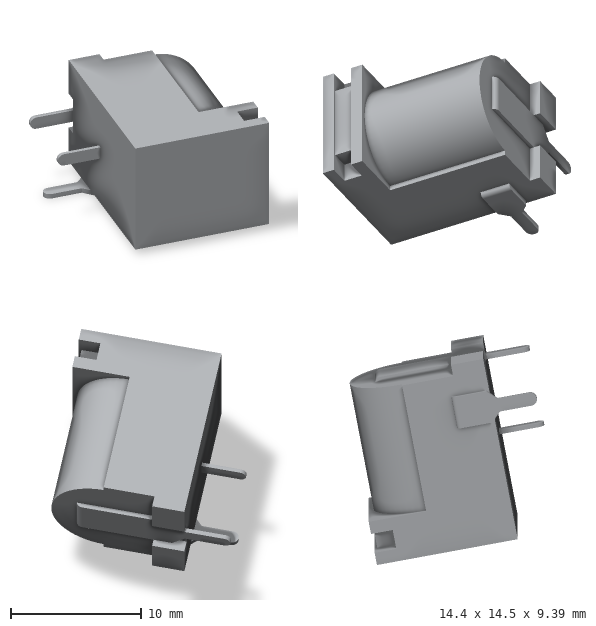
import cadquery as cq

BODY_LENGTH = 14.4
BODY_HEIGHT = 9.0
TOTAL_DEPTH = 14.5
PIN_LENGTH = 3.5
BODY_DEPTH = TOTAL_DEPTH - PIN_LENGTH
MID_Z = BODY_HEIGHT / 2

LIP_THICKNESS = 0.9
LIP_DEPTH = 2.52
BARREL_RADIUS = 4.1
BARREL_Y = 6.51
FLANGE_THICKNESS = 3.45

NOTCH_X = 11.92
NOTCH_WIDTH = 1.51
NOTCH_DEPTH = 1.7
WEB_SETBACK = 0.22
WEB_DROP = 1.51

PIN_WIDTH = 1.0
PIN_RADIUS = PIN_WIDTH / 2

END_CONTACT_X = 0.55
END_CONTACT_THICKNESS = LIP_THICKNESS - END_CONTACT_X
END_CONTACT_WIDTH = 3.0
END_CONTACT_BACK_Y = 8.64
END_CONTACT_BEND = 0.5
END_TAPER_FRONT_Y = 0.07

BOTTOM_CONTACT_X = 3.71
BOTTOM_CONTACT_THICKNESS = 0.39
BOTTOM_CONTACT_WIDTH = 2.5
BOTTOM_CONTACT_BACK_Y = 2.96
BOTTOM_CONTACT_BEND = 0.38
BOTTOM_TAPER_FRONT_Y = -0.52

FRONT_PIN_X = 6.57
FRONT_PIN_THICKNESS = 0.3
FRONT_PIN_EMBED = 0.72


def box(x, y, z, length, depth, height):
    """Box given by its lowest corner and its sizes."""
    return cq.Workplane("XY").box(length, depth, height, centered=False).translate((x, y, z))


def make_housing():
    core_length = BODY_LENGTH - LIP_THICKNESS
    flange_x = BODY_LENGTH - FLANGE_THICKNESS
    core = box(LIP_THICKNESS, 0, 0, core_length, BARREL_Y, BODY_HEIGHT)
    lip = box(0, 0, 0, LIP_THICKNESS, LIP_DEPTH, BODY_HEIGHT)
    flange = box(flange_x, 0, 0, FLANGE_THICKNESS, BODY_DEPTH, BODY_HEIGHT)
    barrel = (
        cq.Workplane("YZ", origin=(LIP_THICKNESS, BARREL_Y, MID_Z))
        .circle(BARREL_RADIUS)
        .extrude(core_length)
    )
    return core.union(lip).union(flange).union(barrel)


def cut_openings(housing):
    lip_slot = box(0, 0, MID_Z - END_CONTACT_WIDTH / 2, LIP_THICKNESS, LIP_DEPTH, END_CONTACT_WIDTH)
    notch = box(NOTCH_X, BODY_DEPTH - NOTCH_DEPTH, 0, NOTCH_WIDTH, NOTCH_DEPTH, BODY_HEIGHT)
    web = box(
        NOTCH_X, BODY_DEPTH - NOTCH_DEPTH, WEB_DROP,
        NOTCH_WIDTH, NOTCH_DEPTH - WEB_SETBACK, BODY_HEIGHT - 2 * WEB_DROP,
    )
    return housing.cut(lip_slot).cut(notch).union(web)


def pin_strip(plane, thickness, wide, back_y, taper_front_y):
    """Flat strip along Y, tapering at 45 degrees to a round-tipped pin at the front."""
    half_wide = wide / 2
    taper_back_y = taper_front_y + half_wide - PIN_RADIUS
    tip_start_y = PIN_RADIUS - PIN_LENGTH
    return (
        plane.moveTo(half_wide, back_y)
        .lineTo(half_wide, taper_back_y)
        .lineTo(PIN_RADIUS, taper_front_y)
        .lineTo(PIN_RADIUS, tip_start_y)
        .threePointArc((0, -PIN_LENGTH), (-PIN_RADIUS, tip_start_y))
        .lineTo(-PIN_RADIUS, taper_front_y)
        .lineTo(-half_wide, taper_back_y)
        .lineTo(-half_wide, back_y)
        .close()
        .extrude(thickness)
    )


def sideways_plane(x):
    """Sketch plane facing +X: sketch x runs along -Z, sketch y along +Y."""
    return cq.Workplane(cq.Plane(origin=(x, 0, MID_Z), xDir=(0, 0, -1), normal=(1, 0, 0)))


def make_end_contact():
    strip = pin_strip(
        sideways_plane(END_CONTACT_X), END_CONTACT_THICKNESS, END_CONTACT_WIDTH,
        END_CONTACT_BACK_Y - END_CONTACT_BEND, END_TAPER_FRONT_Y,
    )
    bend = (
        cq.Workplane("XY", origin=(0, 0, MID_Z))
        .center(END_CONTACT_X + END_CONTACT_BEND, END_CONTACT_BACK_Y - END_CONTACT_BEND)
        .circle(END_CONTACT_BEND)
        .extrude(END_CONTACT_WIDTH / 2, both=True)
    )
    return strip.union(bend)


def make_bottom_contact():
    plane = cq.Workplane("XY", origin=(BOTTOM_CONTACT_X, 0, -BOTTOM_CONTACT_THICKNESS))
    strip = pin_strip(
        plane, BOTTOM_CONTACT_THICKNESS, BOTTOM_CONTACT_WIDTH,
        BOTTOM_CONTACT_BACK_Y, BOTTOM_TAPER_FRONT_Y,
    )
    return strip.edges("<Z and >Y").fillet(BOTTOM_CONTACT_BEND)


def make_front_pin():
    tip_y = PIN_RADIUS - PIN_LENGTH
    length = FRONT_PIN_EMBED - tip_y
    pin = box(FRONT_PIN_X, tip_y, MID_Z - PIN_RADIUS, FRONT_PIN_THICKNESS, length, PIN_WIDTH)
    tip = sideways_plane(FRONT_PIN_X).center(0, tip_y).circle(PIN_RADIUS).extrude(FRONT_PIN_THICKNESS)
    return pin.union(tip)


result = cut_openings(make_housing())
result = result.union(make_end_contact()).union(make_bottom_contact()).union(make_front_pin())